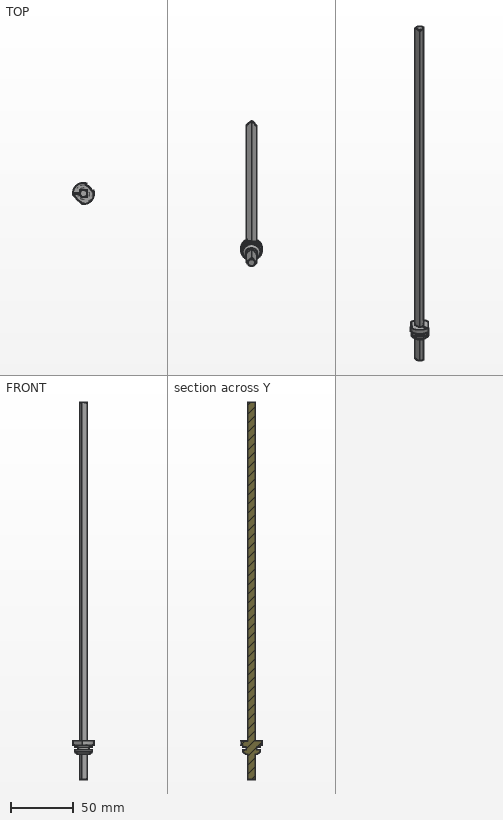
import cadquery as cq
import math

shaft_length = 300.0
shaft_side = 6.0
shaft_flat_leg = 1.75
shaft_end_radius = 2.8
shaft_end_angle = 30.0

collar_top = 31.0
flange_diameter = 17.0
flange_height = 3.5
step_diameter = 14.0
step_height = 1.6
neck_diameter = 9.0
neck_height = 2.0
bead_diameter = 14.0
bead_rim_height = 1.8
bead_taper_height = 2.0
bead_bottom_diameter = 9.5

flat_distance = 6.75
notch_distance = 6.4
notch_width = 8.0
mark_width = 0.9
mark_depth = 0.2

flange_bottom = collar_top - flange_height
step_bottom = flange_bottom - step_height
neck_bottom = step_bottom - neck_height
rim_bottom = neck_bottom - bead_rim_height
collar_bottom = rim_bottom - bead_taper_height
diagonal_angle = 45.0


def make_shaft():
    """Square bar with one bevelled corner and conically turned ends."""
    bar = cq.Workplane("XY").rect(shaft_side, shaft_side).extrude(shaft_length)
    bar = bar.edges("|Z and <X and <Y").chamfer(shaft_flat_leg)
    turned = cq.Workplane("XY").circle(shaft_side).extrude(shaft_length)
    bevel_width = shaft_side - shaft_end_radius
    bevel_height = bevel_width * math.tan(math.radians(shaft_end_angle))
    turned = turned.faces("<Z or >Z").chamfer(bevel_height, bevel_width)
    return bar.intersect(turned)


def make_collar():
    """Turned flange, step, neck and tapered snap bead."""
    profile = [
        (0, collar_top),
        (flange_diameter / 2, collar_top),
        (flange_diameter / 2, flange_bottom),
        (step_diameter / 2, flange_bottom),
        (step_diameter / 2, step_bottom),
        (neck_diameter / 2, step_bottom),
        (neck_diameter / 2, neck_bottom),
        (bead_diameter / 2, neck_bottom),
        (bead_diameter / 2, rim_bottom),
        (bead_bottom_diameter / 2, collar_bottom),
        (0, collar_bottom),
    ]
    return cq.Workplane("XZ").polyline(profile).close().revolve(360, (0, 0), (0, 1))


def diagonal_cutter(distance, width, angle):
    """Flange-high block whose inner face lies at the given distance from the axis."""
    block = cq.Workplane("XY").box(flange_diameter, width, flange_height, centered=(False, True, False))
    block = block.translate((distance, 0, flange_bottom))
    return block.rotate((0, 0, 0), (0, 0, 1), angle)


def make_index_mark():
    """Shallow radial groove in the top face of the flange."""
    groove = cq.Workplane("XY").box(flange_diameter, mark_width, mark_depth, centered=(False, True, False))
    return groove.translate((-flange_diameter, 0, collar_top - mark_depth))


collar = make_collar()
collar = collar.cut(diagonal_cutter(flat_distance, flange_diameter, 180 + diagonal_angle))
collar = collar.cut(diagonal_cutter(notch_distance, notch_width, diagonal_angle))
collar = collar.cut(make_index_mark())

result = collar.union(make_shaft())